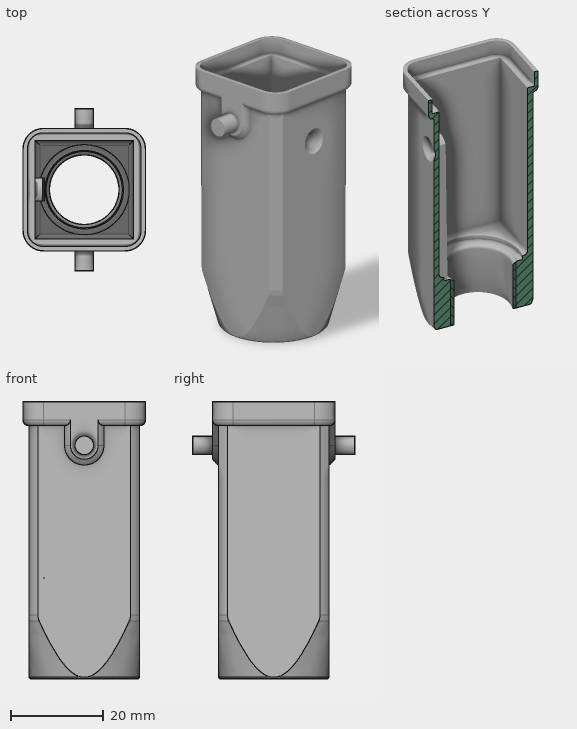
import cadquery as cq
import math

height = 60.0
body_width = 24.0
flange_width = 26.5
peg_span = 35.1

flange_height = 5.2
flange_corner = 4.45
flange_overhang = (flange_width - body_width) / 2
rim_wall = 0.95
rim_depth = 3.65

corner_diameter = 31.25
taper_top = 13.15
blend_radius = 4.8
end_chamfer = 0.35

cavity_width = 21.25
floor_level = 13.2
floor_fillet = 1.0
recess_diameter = 19.5
recess_depth = 0.95
entry_diameter = 16.5
entry_chamfer = 0.25

peg_diameter = 4.0
peg_level = 50.5
pad_radius = 3.0

screw_level = 45.55
screw_diameter = 3.0
countersink_diameter = 5.8
countersink_angle = 90.0
rib_width = 5.0
rib_crown_radius = 3.1
rib_top_x = -9.05
rib_foot_x = -8.6

sleeve_bore = 15.0
sleeve_lip_radius = 0.7
sleeve_top = floor_level - recess_depth - entry_chamfer


def square_prism(width, bottom, top):
    return cq.Workplane("XY").workplane(offset=bottom).rect(width, width).extrude(top - bottom)


def cylinder(diameter, bottom, top):
    return cq.Workplane("XY").workplane(offset=bottom).circle(diameter / 2).extrude(top - bottom)


def tapered_envelope():
    """Turned shape: a cylinder blending into a cone that ends in a chamfered circle."""
    end_radius = body_width / 2
    profile = (
        cq.Workplane("XZ")
        .lineTo(end_radius - end_chamfer, 0)
        .lineTo(end_radius, end_chamfer)
        .lineTo(corner_diameter / 2, taper_top)
        .lineTo(corner_diameter / 2, height)
        .lineTo(0, height)
        .close()
    )
    turned = profile.revolve(360, (0, 0, 0), (0, 1, 0))
    waist = turned.edges(cq.selectors.NearestToPointSelector((0, 0, taper_top)))
    return waist.fillet(blend_radius)


def flange():
    block = square_prism(flange_width, height - flange_height, height)
    block = block.edges("|Z").fillet(flange_corner)
    return block.faces("<Z").edges().fillet(flange_overhang)


def peg_pad():
    """Pad flush with the flange, widening at 45 degrees towards the body."""
    root_radius = pad_radius + flange_overhang
    pad_top = height - rim_depth

    def outline(plane_y, radius):
        return (
            cq.Workplane("XZ", origin=(0, plane_y, 0))
            .moveTo(-radius, pad_top)
            .lineTo(-radius, peg_level)
            .threePointArc((0, peg_level - radius), (radius, peg_level))
            .lineTo(radius, pad_top)
            .close()
            .wire()
            .val()
        )

    root = outline(-body_width / 2, root_radius)
    face = outline(-flange_width / 2, pad_radius)
    return cq.Workplane(cq.Solid.makeLoft([root, face], True))


def peg():
    start = cavity_width / 2
    return (
        cq.Workplane("XZ", origin=(0, -start, peg_level))
        .circle(peg_diameter / 2)
        .extrude(peg_span / 2 - start)
    )


def cavity():
    inside = square_prism(cavity_width, floor_level, height)
    inside = inside.faces("<Z").edges().fillet(floor_fillet)
    rim_width = flange_width - 2 * rim_wall
    rim = square_prism(rim_width, height - rim_depth, height)
    rim = rim.edges("|Z").fillet(flange_corner - rim_wall)
    return inside.union(rim)


def screw_rib():
    """Round-topped rib on the -X wall, its inner end leaning out towards the floor."""
    rib_top = screw_level + rib_crown_radius
    shoulder = screw_level + math.sqrt(rib_crown_radius**2 - (rib_width / 2) ** 2)
    rib_bottom = floor_level - recess_depth
    side = (
        cq.Workplane("XZ", origin=(0, rib_width / 2, 0))
        .moveTo(-cavity_width / 2, rib_bottom)
        .lineTo(rib_foot_x, rib_bottom)
        .lineTo(rib_top_x, rib_top)
        .lineTo(-cavity_width / 2, rib_top)
        .close()
        .extrude(rib_width)
    )
    front = (
        cq.Workplane("YZ", origin=(-cavity_width / 2, 0, 0))
        .moveTo(-rib_width / 2, rib_bottom)
        .lineTo(-rib_width / 2, shoulder)
        .threePointArc((0, rib_top), (rib_width / 2, shoulder))
        .lineTo(rib_width / 2, rib_bottom)
        .close()
        .extrude(cavity_width / 2)
    )
    return side.intersect(front)


def cable_entry():
    """Seat recess and chamfered through bore for the sleeve."""
    seat_level = floor_level - recess_depth
    recess = cylinder(recess_diameter, seat_level, floor_level + floor_fillet)
    bore = cylinder(entry_diameter, 0, seat_level)
    entry_radius = entry_diameter / 2
    mouth = cq.Solid.makeCone(
        entry_radius, entry_radius + entry_chamfer, entry_chamfer, cq.Vector(0, 0, sleeve_top)
    )
    return recess.union(bore).union(cq.Workplane(mouth))


def screw_hole():
    return (
        cq.Workplane("YZ", origin=(-body_width / 2, 0, screw_level))
        .circle(screw_diameter / 2)
        .extrude(body_width / 2)
        .union(countersink())
    )


def countersink():
    depth = (countersink_diameter - screw_diameter) / 2 / math.tan(math.radians(countersink_angle / 2))
    cone = cq.Solid.makeCone(
        countersink_diameter / 2,
        screw_diameter / 2,
        depth,
        cq.Vector(-body_width / 2, 0, screw_level),
        cq.Vector(1, 0, 0),
    )
    return cq.Workplane(cone)


def make_housing():
    shell = square_prism(body_width, 0, height).intersect(tapered_envelope())
    shell = shell.union(flange())
    for turn in (0, 180):
        shell = shell.union(peg_pad().rotate((0, 0, 0), (0, 0, 1), turn))
    shell = shell.cut(cavity()).cut(cable_entry())
    for turn in (0, 180):
        shell = shell.union(peg().rotate((0, 0, 0), (0, 0, 1), turn))
    return shell.union(screw_rib()).cut(screw_hole())


def make_sleeve():
    sleeve = cylinder(entry_diameter, 0, sleeve_top).cut(cylinder(sleeve_bore, 0, sleeve_top))
    inner_rim = sleeve.faces(">Z").edges(cq.selectors.RadiusNthSelector(0))
    return inner_rim.fillet(sleeve_lip_radius)


housing = make_housing()
sleeve = make_sleeve()

result = cq.Compound.makeCompound([housing.solids().val(), sleeve.solids().val()])